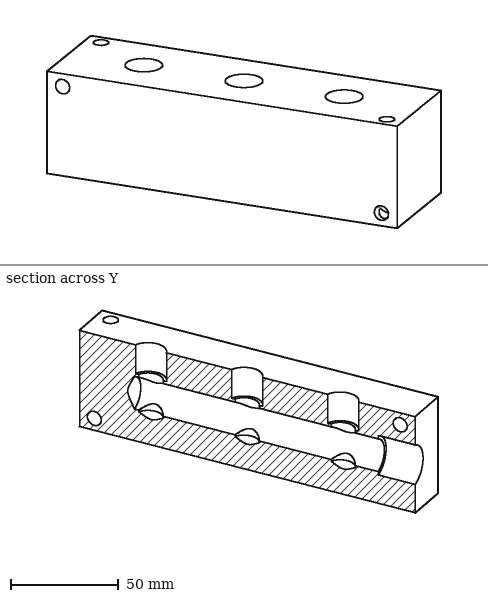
import cadquery as cq
import math

length = 177.8
side = 50.9
mid = side / 2

inlet_diameter = 21.5
inlet_depth = 19.5
gallery_diameter = 18.1

port_count = 3
port_diameter = 17.5
port_depth = 15.1
port_drill_diameter = 14.2
port_pitch = 50.9
first_port_x = length / 2 - port_pitch * (port_count - 1) / 2

floor_clearance = 0.4
port_drill_depth = mid + gallery_diameter / 2 + floor_clearance
last_port_x = first_port_x + port_pitch * (port_count - 1)
gallery_depth = last_port_x + port_diameter / 2

drill_point_angle = 118.0

mount_diameter = 7.1
mount_end_offset = 8.0
mount_edge_offset = 6.4
mount_places = [
    (mount_end_offset, side - mount_edge_offset),
    (length - mount_end_offset, mount_edge_offset),
]


def stepped_hole(mouth_diameter, mouth_depth, drill_diameter, drill_depth):
    """Cutter for a blind stepped hole with a drill point, running along +Z from the origin."""
    mouth_radius = mouth_diameter / 2
    drill_radius = drill_diameter / 2
    tip_depth = drill_depth + drill_radius / math.tan(math.radians(drill_point_angle / 2))
    return (
        cq.Workplane("XZ")
        .polyline([
            (0, 0),
            (mouth_radius, 0),
            (mouth_radius, mouth_depth),
            (drill_radius, mouth_depth),
            (drill_radius, drill_depth),
            (0, tip_depth),
        ])
        .close()
        .revolve(360, (0, 0), (0, 1))
    )


block = cq.Workplane("XY").box(length, side, side, centered=False)

gallery = stepped_hole(inlet_diameter, inlet_depth, gallery_diameter, gallery_depth)
gallery = gallery.rotate((0, 0, 0), (0, 1, 0), 90).translate((0, mid, mid))
block = block.cut(gallery)

port = stepped_hole(port_diameter, port_depth, port_drill_diameter, port_drill_depth)
port = port.rotate((0, 0, 0), (1, 0, 0), 180)
for index in range(port_count):
    block = block.cut(port.translate((first_port_x + index * port_pitch, mid, side)))

mount_radius = mount_diameter / 2
for x, offset in mount_places:
    block = block.cut(cq.Workplane("XY").center(x, offset).circle(mount_radius).extrude(side))
    block = block.cut(cq.Workplane("XZ").center(x, offset).circle(mount_radius).extrude(-side))

result = block